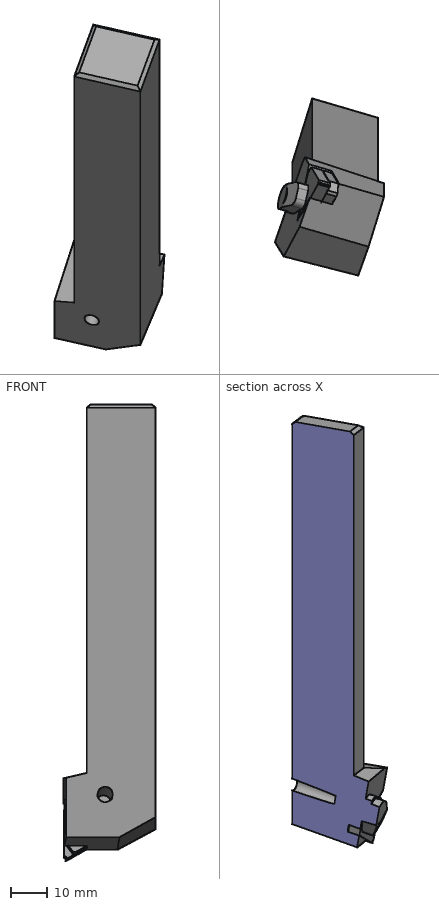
import cadquery as cq
import math

TOTAL_HEIGHT = 126.3
SHANK_SIZE = 19.1
SHANK_BOTTOM = 22.7
END_CHAMFER_INSET = 1.1
END_CHAMFER_HEIGHT = 0.9

HEAD_OVERHANG = 6.3
SHOULDER_HEIGHT = 24.5
SHOULDER_ANGLE = 13.0
SHOULDER_REACH = 15.2
HEAD_BOTTOM = 3.5
HEAD_CORNER_START = 14.8
HEAD_CORNER_ANGLE = 28.5
HEAD_STEP = 0.19
HEAD_WIDTH = 30.3
HEAD_BLANK_TOP = 35.4
ENVELOPE_BOTTOM = -6.3
POCKET_OVERRUN = 2.5
HEAD_DEPTH = 32.8

SEAT_TILT = 10.0
SEAT_TURN = 2.0
CORNER_Y = 18.8
CORNER_DROP = 0.3

SIDE = 16.5
TRIANGLE_HEIGHT = SIDE * math.sin(math.radians(60))
INSERT_THICKNESS = 3.4
INSERT_NOSE_CUT = 1.3
INSERT_CORNER_CUT = 2.5
TOOTH_START = 0.6
TOOTH_WIDTH = 0.5
TOOTH_HEIGHT = 0.6
SHIM_THICKNESS = 3.0
SHIM_NOSE_START = 4.7
SHIM_NOSE_WIDTH = 2.0
SHIM_NOSE_LEVEL = 1.9
SHIM_INSET = 0.3
SHIM_CORNER_CUT = 1.5

SCREW_U = 10.7
SCREW_V = 15.2
BOSS_OFFSET = 0.8
BOSS_HEIGHT = 2.1
CLAMP_HEIGHT = 4.7
FINGER_RADIUS = 3.4
FINGER_LEAN = 29.0
FINGER_REACH = 8.2
TOE_FILLET = 1.9
TOE_HEIGHT = 2.9
SLOPE_START = 2.5

HOLE_DIAMETER = 4.2
HOLE_FLOOR = 8.8


def seat_plane(depth=0.0):
    """Plane parallel to the rake face, sunk by depth; u runs along the end face, v up the nose side."""
    tilt = math.radians(SEAT_TILT)
    turn = math.radians(SEAT_TURN)
    u_axis = cq.Vector(math.cos(turn), math.sin(turn), 0)
    inward = cq.Vector(
        math.sin(turn) * math.cos(tilt), -math.cos(turn) * math.cos(tilt), math.sin(tilt)
    )
    corner = cq.Vector(-HEAD_OVERHANG, CORNER_Y, -CORNER_DROP)
    return cq.Plane(origin=corner + inward * depth, xDir=u_axis, normal=inward)


def triangle_points(nose_cut, corner_cut):
    """Equilateral triangle from the nose at the origin, each corner cut square to its bisector."""
    corners = [
        cq.Vector(0, 0),
        cq.Vector(TRIANGLE_HEIGHT, SIDE / 2),
        cq.Vector(0, SIDE),
    ]
    points = []
    for i, corner in enumerate(corners):
        cut = nose_cut if i == 0 else corner_cut
        to_previous = (corners[i - 1] - corner).normalized()
        to_next = (corners[(i + 1) % 3] - corner).normalized()
        points += [corner + to_previous * cut, corner + to_next * cut]
    return [(point.x, point.y) for point in points]


def make_shank():
    shank = cq.Workplane("XY").box(
        SHANK_SIZE, SHANK_SIZE, TOTAL_HEIGHT - SHANK_BOTTOM, centered=False
    ).translate((0, 0, SHANK_BOTTOM))
    return shank.faces(">Z").chamfer(END_CHAMFER_HEIGHT, END_CHAMFER_INSET)


def make_head():
    """Tilted blank carrying the seat, trimmed to the shank's sides and the shoulders."""
    corner_run = HEAD_WIDTH - HEAD_CORNER_START
    corner_top = HEAD_BOTTOM + corner_run * math.tan(math.radians(HEAD_CORNER_ANGLE))
    head = (
        cq.Workplane(seat_plane(-HEAD_STEP))
        .polyline([
            (0, HEAD_BOTTOM),
            (HEAD_CORNER_START, HEAD_BOTTOM),
            (HEAD_WIDTH, corner_top),
            (HEAD_WIDTH, HEAD_BLANK_TOP),
            (0, HEAD_BLANK_TOP),
        ])
        .close()
        .extrude(HEAD_DEPTH)
    )
    return head.intersect(make_head_envelope())


def make_head_envelope():
    """Block flush with the shank's front and +X sides, roofed by the two sloping shoulders."""
    drop = SHOULDER_REACH * math.tan(math.radians(SHOULDER_ANGLE))
    eaves = SHOULDER_HEIGHT - drop
    side_slope = (
        cq.Workplane("XZ")
        .polyline([
            (-SHOULDER_REACH, ENVELOPE_BOTTOM),
            (SHANK_SIZE, ENVELOPE_BOTTOM),
            (SHANK_SIZE, SHOULDER_HEIGHT),
            (0, SHOULDER_HEIGHT),
            (-SHOULDER_REACH, eaves),
        ])
        .close()
        .extrude(-SHANK_SIZE - SHOULDER_REACH)
    )
    back_slope = (
        cq.Workplane("YZ", origin=(-SHOULDER_REACH, 0, 0))
        .polyline([
            (0, ENVELOPE_BOTTOM),
            (SHANK_SIZE + SHOULDER_REACH, ENVELOPE_BOTTOM),
            (SHANK_SIZE + SHOULDER_REACH, eaves),
            (SHANK_SIZE, SHOULDER_HEIGHT),
            (0, SHOULDER_HEIGHT),
        ])
        .close()
        .extrude(SHANK_SIZE + SHOULDER_REACH)
    )
    return side_slope.intersect(back_slope)


def make_pocket():
    """Full triangle down to the shim's seat, open past the nose side and upward."""
    outline = [
        (-POCKET_OVERRUN, 0),
        (0, 0),
        (TRIANGLE_HEIGHT, SIDE / 2),
        (0, SIDE),
        (-POCKET_OVERRUN, SIDE),
    ]
    return (
        cq.Workplane(seat_plane(-HEAD_STEP))
        .polyline(outline)
        .close()
        .extrude(HEAD_STEP + INSERT_THICKNESS + SHIM_THICKNESS)
    )


def make_shim():
    """Triangle under the insert, its nose taken off by a steep flat and a level flat."""
    level_end = SHIM_NOSE_LEVEL / math.tan(math.radians(30))
    nose = [
        (SHIM_INSET, SHIM_NOSE_START),
        (SHIM_INSET + SHIM_NOSE_WIDTH, SHIM_NOSE_LEVEL),
        (level_end, SHIM_NOSE_LEVEL),
    ]
    far_corners = triangle_points(0, SHIM_CORNER_CUT)[2:5]
    top = (SHIM_INSET, SIDE - SHIM_CORNER_CUT + SHIM_INSET * math.tan(math.radians(30)))
    return (
        cq.Workplane(seat_plane(INSERT_THICKNESS))
        .polyline(nose + far_corners + [top])
        .close()
        .extrude(SHIM_THICKNESS)
    )


def make_clamp():
    """Low round boss behind the screw and a finger reaching over the insert, its top falling to the toe."""
    seat = seat_plane()
    screw = seat.toWorldCoords((SCREW_U, SCREW_V))
    lean = math.radians(FINGER_LEAN)
    reach = seat.xDir * -math.sin(lean) - seat.yDir * math.cos(lean)
    outward = seat.zDir * -1

    foot_plane = cq.Plane(origin=screw, xDir=reach, normal=outward)
    boss = cq.Workplane(foot_plane).center(-BOSS_OFFSET, 0).circle(FINGER_RADIUS).extrude(BOSS_HEIGHT)
    heel = cq.Workplane(foot_plane).circle(FINGER_RADIUS).extrude(CLAMP_HEIGHT)

    side_plane = cq.Plane(origin=screw, xDir=reach, normal=reach.cross(outward))
    finger = (
        cq.Workplane(side_plane)
        .polyline([
            (0, 0),
            (FINGER_REACH, 0),
            (FINGER_REACH, TOE_HEIGHT),
            (SLOPE_START, CLAMP_HEIGHT),
            (0, CLAMP_HEIGHT),
        ])
        .close()
        .extrude(FINGER_RADIUS, both=True)
    )
    toe_edges = finger.faces(cq.DirectionMinMaxSelector(reach, True)).edges(cq.ParallelDirSelector(outward))
    finger = toe_edges.fillet(TOE_FILLET)
    return boss.union(heel).union(finger)


def make_access_hole():
    """Blind hole in line with the clamp screw, entering from the -Y side."""
    return (
        cq.Workplane(seat_plane(HOLE_FLOOR))
        .center(SCREW_U, SCREW_V)
        .circle(HOLE_DIAMETER / 2)
        .extrude(HEAD_DEPTH)
    )


def make_holder():
    holder = make_shank().union(make_head())
    holder = holder.cut(make_pocket()).cut(make_access_hole())
    return holder.union(make_shim()).union(make_clamp())


def make_insert():
    """Triangular plate with a small pointed tooth standing on its nose flat."""
    plate = (
        cq.Workplane(seat_plane())
        .polyline(triangle_points(INSERT_NOSE_CUT, INSERT_CORNER_CUT))
        .close()
        .extrude(INSERT_THICKNESS)
    )
    nose_left = cq.Vector(0, INSERT_NOSE_CUT)
    cut_angle = math.radians(30)
    along_cut = cq.Vector(math.cos(cut_angle), -math.sin(cut_angle))
    outward = cq.Vector(-math.sin(cut_angle), -math.cos(cut_angle))
    foot = nose_left + along_cut * TOOTH_START
    tip = foot + along_cut * (TOOTH_WIDTH / 2) + outward * TOOTH_HEIGHT
    end = foot + along_cut * TOOTH_WIDTH
    tooth = (
        cq.Workplane(seat_plane())
        .polyline([(point.x, point.y) for point in (foot, tip, end)])
        .close()
        .extrude(INSERT_THICKNESS)
    )
    return plate.union(tooth)


holder = make_holder()
insert = make_insert()
result = cq.Compound.makeCompound([holder.val(), insert.val()])